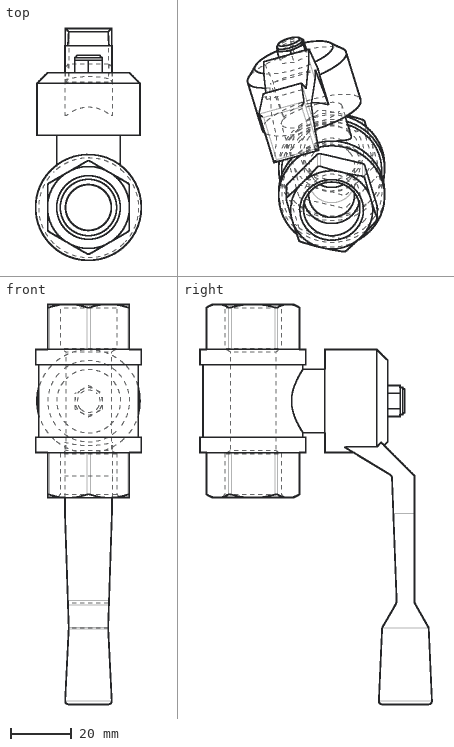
import cadquery as cq
import math

body_height = 63.8
body_diameter = 33.0
flange_diameter = 35.0
flange_outer_z = 17.0
flange_inner_z = 11.9
hex_flats = 26.9
hex_corner_radius = 1.0
hex_chamfer_diameter = 27.0
hex_chamfer_angle = 30.0

bore_diameter = 15.0
socket_diameter = 18.6
socket_depth = 14.5
socket_drill_angle = 118.0
mouth_diameter = 21.0

neck_diameter = 21.0
cap_diameter = 34.0
cap_start_y = 23.8
cap_end_y = 44.5
cap_chamfer = 3.5
stem_flats = 9.0
stem_hex_end_y = 48.6
stem_end_y = 50.2
stem_tip_chamfer = 0.8

handle_bottom_z = body_height / 2 - 132
handle_bend_z = -24.7
handle_taper_z = -37.0
handle_neck_z = -66.5
grip_top_z = -74.8
handle_outer_y = 53.3
bend_inner_y = 45.8
waist_inner_y = 47.4
grip_centre_y = 50.3
grip_top_depth = 15.5
grip_bottom_depth = 17.7
handle_width = 15.6
waist_width = 13.1
grip_edge_fillet = 1.2
bend_fillet = 1.3
waist_fillet = 2.6
root_top_y = 39.6
root_lower_y = 30.4
root_lower_z = -15.3


def cylinder_y(diameter, start_y, end_y):
    """Cylinder on the Y axis between two Y positions."""
    plane = cq.Workplane("XZ", origin=(0, start_y, 0))
    return plane.circle(diameter / 2).extrude(start_y - end_y)


def cylinder_z(diameter, start_z, end_z):
    """Cylinder on the Z axis between two Z positions."""
    return cq.Workplane("XY").workplane(offset=start_z).circle(diameter / 2).extrude(end_z - start_z)


def hex_ends():
    """Full-height hexagonal bar with rounded corners and conically chamfered ends."""
    corner_diameter = hex_flats / math.cos(math.pi / 6)
    bar = cq.Workplane("XY").polygon(6, corner_diameter).extrude(body_height / 2, both=True)
    bar = bar.rotate((0, 0, 0), (0, 0, 1), 30).edges("|Z").fillet(hex_corner_radius)
    chamfer_width = (corner_diameter - hex_chamfer_diameter) / 2
    chamfer_height = chamfer_width * math.tan(math.radians(hex_chamfer_angle))
    half_height = body_height / 2
    envelope = (
        cq.Workplane("XZ")
        .moveTo(0, -half_height)
        .lineTo(hex_chamfer_diameter / 2, -half_height)
        .lineTo(corner_diameter / 2, chamfer_height - half_height)
        .lineTo(corner_diameter / 2, half_height - chamfer_height)
        .lineTo(hex_chamfer_diameter / 2, half_height)
        .lineTo(0, half_height)
        .close()
        .revolve(360, (0, 0, 0), (0, 1, 0))
    )
    return bar.intersect(envelope)


def valve_body():
    """Hexagonal ends joined by a round barrel with a flange at each end."""
    body = hex_ends().union(cylinder_z(body_diameter, -flange_outer_z, flange_outer_z))
    for side in (-1, 1):
        body = body.union(cylinder_z(flange_diameter, side * flange_inner_z, side * flange_outer_z))
    return body


def bore():
    """Tool for the through hole, both drilled sockets and their 45 degree mouths."""
    half_height = body_height / 2
    mouth_depth = (mouth_diameter - socket_diameter) / 2
    socket_step = (socket_diameter - bore_diameter) / 2
    cone_depth = socket_step / math.tan(math.radians(socket_drill_angle / 2))
    half_tool = (
        cq.Workplane("XZ")
        .moveTo(0, 0)
        .lineTo(bore_diameter / 2, 0)
        .lineTo(bore_diameter / 2, half_height - socket_depth - cone_depth)
        .lineTo(socket_diameter / 2, half_height - socket_depth)
        .lineTo(socket_diameter / 2, half_height - mouth_depth)
        .lineTo(mouth_diameter / 2, half_height)
        .lineTo(0, half_height)
        .close()
        .revolve(360, (0, 0, 0), (0, 1, 0))
    )
    return half_tool.union(half_tool.mirror("XY"))


def cap():
    """Round cap on the neck, chamfered at its outer face."""
    return cylinder_y(cap_diameter, cap_start_y, cap_end_y).faces(">Y").chamfer(cap_chamfer)


def stem():
    """Hexagonal stem, corners up and down, ending in a short chamfered round tip."""
    corner_diameter = stem_flats / math.cos(math.pi / 6)
    hexagon = (
        cq.Workplane("XZ", origin=(0, cap_end_y, 0))
        .polygon(6, corner_diameter)
        .extrude(cap_end_y - stem_hex_end_y)
        .rotate((0, 0, 0), (0, 1, 0), 30)
    )
    tip = cylinder_y(stem_flats, cap_end_y, stem_end_y).faces(">Y").chamfer(stem_tip_chamfer)
    return hexagon.union(tip)


def handle():
    """Cranked lever: its side profile trimmed to the tapering front outline."""
    root_top_z = handle_bend_z + handle_outer_y - root_top_y
    profile = (
        cq.Workplane("YZ")
        .moveTo(root_top_y, root_top_z)
        .lineTo(handle_outer_y, handle_bend_z)
        .lineTo(handle_outer_y, handle_neck_z)
        .lineTo(grip_centre_y + grip_top_depth / 2, grip_top_z)
        .lineTo(grip_centre_y + grip_bottom_depth / 2, handle_bottom_z)
        .lineTo(grip_centre_y - grip_bottom_depth / 2, handle_bottom_z)
        .lineTo(grip_centre_y - grip_top_depth / 2, grip_top_z)
        .lineTo(waist_inner_y, handle_neck_z)
        .lineTo(bend_inner_y, handle_bend_z)
        .lineTo(root_lower_y, root_lower_z)
        .close()
        .extrude(handle_width / 2, both=True)
    )
    for inner_y, bend_z, radius in (
        (bend_inner_y, handle_bend_z, bend_fillet),
        (waist_inner_y, handle_neck_z, waist_fillet),
        (grip_centre_y - grip_top_depth / 2, grip_top_z, bend_fillet),
    ):
        bend = cq.selectors.NearestToPointSelector((0, inner_y, bend_z))
        profile = profile.edges("|X").edges(bend).fillet(radius)
    right_edge = [
        (handle_width / 2, root_top_z),
        (handle_width / 2, handle_taper_z),
        (waist_width / 2, grip_top_z),
        (handle_width / 2, handle_bottom_z),
    ]
    left_edge = [(-x, z) for x, z in reversed(right_edge)]
    outline = (
        cq.Workplane("XZ")
        .polyline(right_edge + left_edge)
        .close()
        .extrude(-(grip_centre_y + grip_bottom_depth))
    )
    return profile.intersect(outline).faces("<Z").edges().fillet(grip_edge_fillet)


neck = cylinder_y(neck_diameter, 0, cap_start_y)
result = valve_body().union(neck).union(cap()).union(stem()).union(handle()).cut(bore())